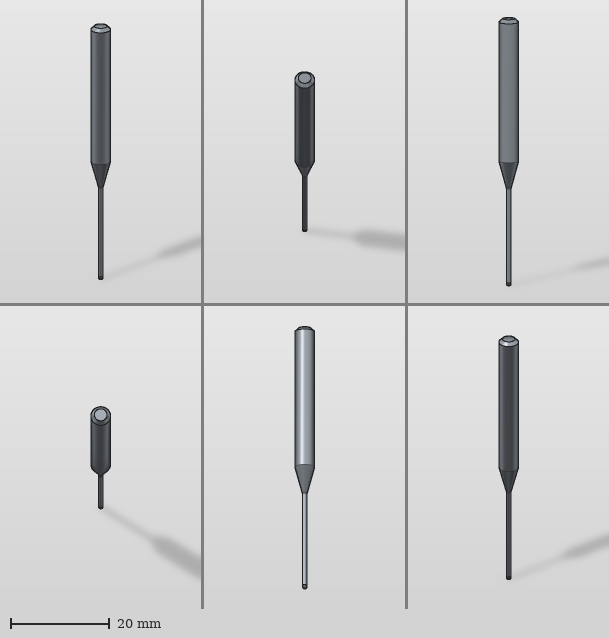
import cadquery as cq

TOTAL_LENGTH = 55.0

HEAD_RADIUS = 0.5
HEAD_BAND_HEIGHT = 0.2
HEAD_TOP_Z = HEAD_RADIUS + HEAD_BAND_HEIGHT
ARC_MID = HEAD_RADIUS * 0.5 ** 0.5

NECK_RADIUS = 0.475
NECK_TOP_Z = 19.95
LEAD_IN_HEIGHT = 0.3
TAPER_BOTTOM_RADIUS = 0.52
TAPER_BOTTOM_Z = NECK_TOP_Z + LEAD_IN_HEIGHT

SHANK_RADIUS = 4.0 / 2
END_CHAMFER = 0.7
TAPER_TOP_Z = 25.7


def revolve_about_z(profile):
    """Turn a closed half-profile in the YZ plane into a solid of revolution about Z."""
    return profile.revolve(360, (0, 0, 0), (0, 1, 0))


def make_holder():
    """Neck, short lead-in, long taper and chamfered shank; the neck ends on the cutting head."""
    profile = (
        cq.Workplane("YZ")
        .moveTo(0, HEAD_TOP_Z)
        .lineTo(-NECK_RADIUS, HEAD_TOP_Z)
        .lineTo(-NECK_RADIUS, NECK_TOP_Z)
        .lineTo(-TAPER_BOTTOM_RADIUS, TAPER_BOTTOM_Z)
        .lineTo(-SHANK_RADIUS, TAPER_TOP_Z)
        .lineTo(-SHANK_RADIUS, TOTAL_LENGTH - END_CHAMFER)
        .lineTo(-(SHANK_RADIUS - END_CHAMFER), TOTAL_LENGTH)
        .lineTo(0, TOTAL_LENGTH)
        .close()
    )
    return revolve_about_z(profile)


def make_cutting_head():
    """Short cylindrical band above a hemispherical tip that touches Z = 0."""
    profile = (
        cq.Workplane("YZ")
        .moveTo(0, 0)
        .threePointArc((-ARC_MID, HEAD_RADIUS - ARC_MID), (-HEAD_RADIUS, HEAD_RADIUS))
        .lineTo(-HEAD_RADIUS, HEAD_TOP_Z)
        .lineTo(0, HEAD_TOP_Z)
        .close()
    )
    return revolve_about_z(profile)


holder = make_holder()
cutting_head = make_cutting_head()

result = cq.Compound.makeCompound([holder.val(), cutting_head.val()])